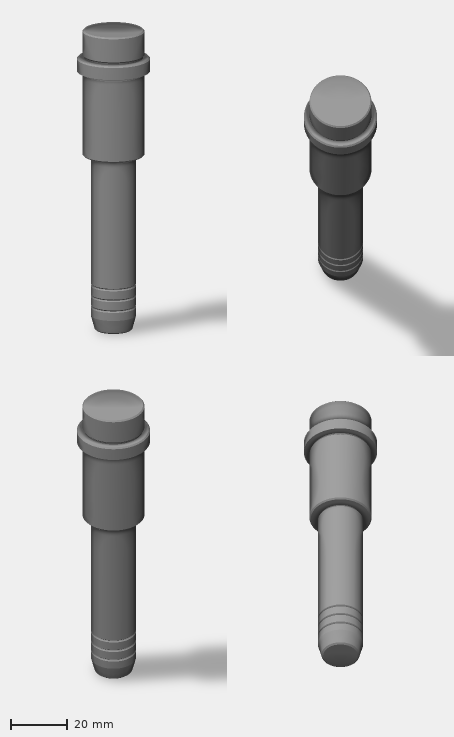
import cadquery as cq
import math

length = 110.0
body_diameter = 22.0
flange_diameter = 26.0
neck_diameter = 21.0
shaft_diameter = 16.1
undercut_diameter = 15.0

head_bottom = length - 9.5
flange_top = length - 10.0
flange_bottom = length - 15.0
collar_top = length - 15.5
collar_bottom = length - 46.0
shaft_top = length - 47.0

edge_chamfer = 0.5

tip_height = 5.3
tip_angle = 15.0
tip_diameter = shaft_diameter - 2 * tip_height * math.tan(math.radians(tip_angle))

groove_count = 3
groove_pitch = 4.0
first_groove_height = 8.7
groove_width = 0.9
groove_depth = 0.5


def cylinder(diameter, bottom, top):
    """Upright cylinder on the Z axis between two heights."""
    return cq.Workplane("XY").workplane(offset=bottom).circle(diameter / 2).extrude(top - bottom)


def ring_groove(height):
    """V-shaped ring cutter centred on the given height of the shaft."""
    radius = shaft_diameter / 2
    half_width = groove_width / 2
    return (
        cq.Workplane("XZ")
        .moveTo(radius, height - half_width)
        .lineTo(radius - groove_depth, height)
        .lineTo(radius, height + half_width)
        .close()
        .revolve(360, (0, 0, 0), (0, 1, 0))
    )


head = cylinder(body_diameter, head_bottom, length).edges().chamfer(edge_chamfer)
flange = cylinder(flange_diameter, flange_bottom, flange_top).edges(">Z").chamfer(edge_chamfer)
collar = cylinder(body_diameter, collar_bottom, collar_top).edges().chamfer(edge_chamfer)
neck = cylinder(neck_diameter, collar_top - edge_chamfer, head_bottom + edge_chamfer)

shaft = cylinder(shaft_diameter, tip_height, shaft_top)
undercut = cylinder(undercut_diameter, shaft_top - edge_chamfer, collar_bottom + edge_chamfer)

tip = (
    cq.Workplane("XY")
    .circle(tip_diameter / 2)
    .workplane(offset=tip_height)
    .circle(shaft_diameter / 2)
    .loft(ruled=True)
    .faces("<Z")
    .edges()
    .chamfer(edge_chamfer)
)

result = head.union(flange).union(collar).union(neck).union(undercut).union(shaft).union(tip)

for index in range(groove_count):
    result = result.cut(ring_groove(first_groove_height + index * groove_pitch))

result = result.translate((0, 0, -length / 2))